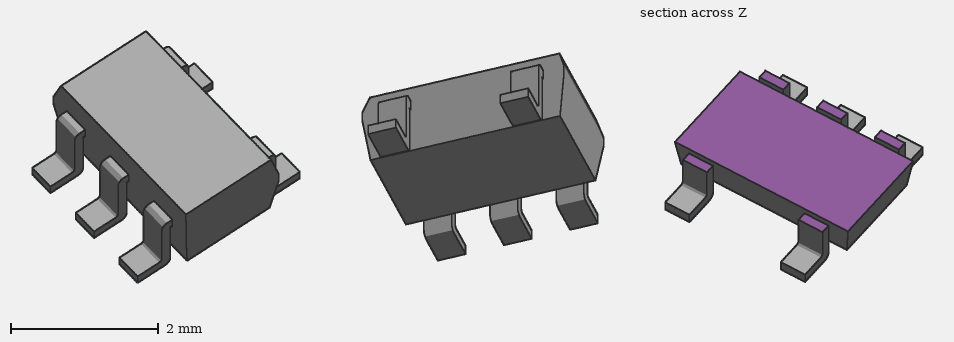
import cadquery as cq


body_length = 2.9
body_width = 1.6
package_height = 1.25
top_inset_x = 0.087
top_inset_y = 0.067
bottom_inset = 0.087

lead_span = 2.8
shank_span = 1.97
lead_width = 0.4
lead_thickness = 0.15
lead_pitch = 0.95
outer_bend_radius = 0.1
foot_inner_radius = 0.045

standoff = lead_thickness
band_top = 0.955
band_bottom = band_top - lead_thickness


def frustum(start_z, start_inset, end_z, end_inset):
    """Solid between two body-shaped rectangles, each shrunk by its (x, y) inset per side."""
    return (
        cq.Workplane("XY", origin=(0, 0, start_z))
        .rect(body_length - 2 * start_inset[0], body_width - 2 * start_inset[1])
        .workplane(offset=end_z - start_z)
        .rect(body_length - 2 * end_inset[0], body_width - 2 * end_inset[1])
        .loft(ruled=True, combine=True)
    )


def make_body():
    """Tapered lower half, straight band and tapered upper half."""
    lower = frustum(standoff, (bottom_inset, bottom_inset), band_bottom, (0, 0))
    band = frustum(band_bottom, (0, 0), band_top, (0, 0))
    upper = frustum(band_top, (0, 0), package_height, (top_inset_x, top_inset_y))
    return lower.union(band).union(upper)


def make_lead():
    """Lead on the +Y side, centred on X = 0, with its root embedded in the body band."""
    root = body_width / 2 - lead_thickness
    shank_outer = shank_span / 2
    shank_inner = shank_outer - lead_thickness
    toe = lead_span / 2
    profile = [
        (root, band_top),
        (shank_outer, band_top),
        (shank_outer, lead_thickness),
        (toe, lead_thickness),
        (toe, 0),
        (shank_inner, 0),
        (shank_inner, band_bottom),
        (root, band_bottom),
    ]
    lead = cq.Workplane("YZ").polyline(profile).close().extrude(lead_width / 2, both=True)

    def bend(y, z):
        return cq.selectors.NearestToPointSelector((0, y, z))

    lead = lead.edges("|X").edges(bend(shank_outer, band_top)).fillet(outer_bend_radius)
    lead = lead.edges("|X").edges(bend(shank_inner, 0)).fillet(outer_bend_radius)
    return lead.edges("|X").edges(bend(shank_outer, lead_thickness)).fillet(foot_inner_radius)


back_lead = make_lead()
front_lead = back_lead.mirror("XZ")

result = make_body()
for x in (-lead_pitch, 0, lead_pitch):
    result = result.union(front_lead.translate((x, 0, 0)))
for x in (-lead_pitch, lead_pitch):
    result = result.union(back_lead.translate((x, 0, 0)))